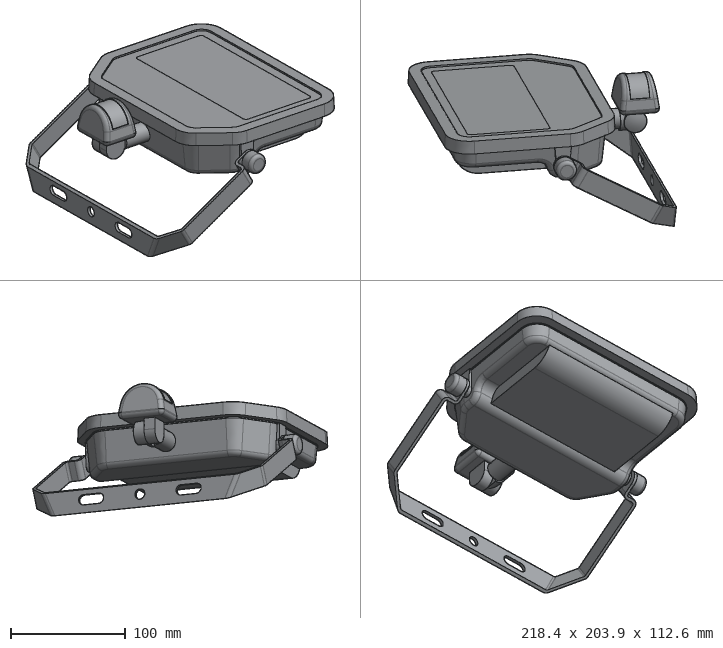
import cadquery as cq
import math


frame_half_width = 98.5
frame_back_y = 102.5
frame_front_y = -52.9
frame_cut_x = 29.3
frame_cut_y = 40.6
frame_corner_radius = 21.8
frame_bottom_z = 19.2
frame_height = 11.8
frame_draft = 3.0
frame_top_z = frame_bottom_z + frame_height
frame_border = 11.4

glass_recess = 1.5
glass_thickness = 2.2
glass_top_z = frame_top_z - glass_recess
panel_width = 156.8
panel_back_y = 82.1
panel_front_y = 8.5
panel_corner_radius = 3.0

housing_half_width = 90.5
housing_back_y = 94.3
housing_front_y = -44.8
housing_cut_x = 24.2
housing_cut_y = 33.9
housing_corner_radius = 17.0
housing_draft = 6.0
housing_bottom_z = -14.6
shallow_bottom_z = 1.5
housing_edge_radius = 5.2
shallow_end_y = 21.8
deep_start_y = 1.5
lip_overhang = 0.5
lip_height = 1.0
core_half_width = 69.9
core_bottom_z = -10.7
core_back_y = 92.4
core_radius = 22.7
pad_face_x = 92.2
pad_top_width = 15.0
pad_bottom_radius = 6.0
pad_depth = 8.7

tilt = 30.0
strip_width = 18.1
strip_thickness = 2.8
bracket_half_width = 109.2
tab_outer_x = 96.3
jog_start = 11.4
diagonal_start = 92.5
diagonal_slope = math.cos(math.radians(tilt))
region_end = 142.0
plate_back_y = -101.3
bend_inner_radius = 2.2
bend_outer_radius = bend_inner_radius + strip_thickness
plate_hole_z = -57.0
plate_hole_diameter = 9.2
slot_length = 23.5
slot_offset = 46.3

knob_diameter = 18.1
knob_outer_x = 108.3
knob_edge_radius = 3.3
shank_diameter = 6.0
shank_end_x = 85.2

arm_diameter = 18.0
arm_start_y = -40.5
arm_z = 3.3
knuckle_y = -81.7
knuckle_z = 2.8
knuckle_radius = 10.3
knuckle_width = 10.3
knuckle_back_y = -68.5
cap_radius = 10.0
cap_height = 2.0

head_center_y = -83.9
head_bottom_z = knuckle_z + knuckle_radius
head_widest_z = 18.1
head_arc_z = 23.2
head_arc_radius = 20.5
head_side_draft = 10.0
head_half_depth = 17.5
head_end_draft = 8.0
head_edge_radius = 4.1
lens_depth = 17.0
lens_bottom_z = 28.0
lens_recess = 0.7
lens_thickness = 2.2


def cut_corner_outline(half_width, back_y, front_y, cut_x, cut_y, corner_radius, inset):
    """Rounded rectangle with its two front corners cut off, all moved inward by inset."""
    turn = math.atan2(cut_x, cut_y)
    side_x = half_width - inset
    side_y = front_y + cut_y + inset * math.tan(turn / 2)
    front_x = half_width - cut_x - inset * math.tan((math.pi / 2 - turn) / 2)
    corners = [
        (-side_x, back_y - inset),
        (side_x, back_y - inset),
        (side_x, side_y),
        (front_x, front_y + inset),
        (-front_x, front_y + inset),
        (-side_x, side_y),
        (-side_x, back_y - inset),
    ]
    return cq.Sketch().polygon(corners).vertices().fillet(corner_radius - inset)


def frame_outline(inset=0):
    return cut_corner_outline(
        frame_half_width, frame_back_y, frame_front_y, frame_cut_x, frame_cut_y, frame_corner_radius, inset
    )


def housing_outline(inset=0):
    return cut_corner_outline(
        housing_half_width,
        housing_back_y,
        housing_front_y,
        housing_cut_x,
        housing_cut_y,
        housing_corner_radius,
        inset,
    )


def level(z):
    return cq.Workplane("XY", origin=(0, 0, z))


def bar_x(y, z, diameter, x_from, x_to):
    """Round bar along X."""
    return cq.Workplane("YZ", origin=(x_from, y, z)).circle(diameter / 2).extrude(x_to - x_from)


def make_frame():
    """Drafted frame with a blind pocket for the glass."""
    body = level(frame_bottom_z).placeSketch(frame_outline()).extrude(frame_height, taper=frame_draft)
    pocket_depth = glass_recess + glass_thickness
    pocket_floor_z = frame_top_z - pocket_depth
    pocket = level(pocket_floor_z).placeSketch(frame_outline(frame_border)).extrude(pocket_depth)
    return body.cut(pocket)


def make_panel():
    """Rounded rectangular panel, flush with the glass around it."""
    center_y = (panel_back_y + panel_front_y) / 2
    return (
        level(glass_top_z - glass_thickness)
        .center(0, center_y)
        .rect(panel_width, panel_back_y - panel_front_y)
        .extrude(glass_thickness)
        .edges("|Z")
        .fillet(panel_corner_radius)
    )


def make_glass():
    """Thin plate on the pocket floor, with an opening for the panel."""
    glass_bottom_z = glass_top_z - glass_thickness
    plate = level(glass_bottom_z).placeSketch(frame_outline(frame_border)).extrude(glass_thickness)
    return plate.cut(make_panel())


def make_housing_tub():
    """Drafted tub: shallow at the back, with an S-shaped step down to the deep front."""
    depth = frame_bottom_z - housing_bottom_z
    tub = level(frame_bottom_z).placeSketch(housing_outline()).extrude(-depth, taper=housing_draft)
    middle_y = (shallow_end_y + deep_start_y) / 2
    middle_z = (shallow_bottom_z + housing_bottom_z) / 2
    below_shallow_part = (
        cq.Workplane("YZ")
        .moveTo(frame_back_y, shallow_bottom_z)
        .lineTo(shallow_end_y, shallow_bottom_z)
        .tangentArcPoint((middle_y, middle_z), relative=False)
        .tangentArcPoint((deep_start_y, housing_bottom_z), relative=False)
        .lineTo(frame_back_y, housing_bottom_z)
        .close()
        .extrude(frame_half_width, both=True)
    )
    tub = tub.cut(below_shallow_part)
    reach = 2 * frame_half_width
    margin = 0.2
    bottom_edges = cq.selectors.BoxSelector(
        (-reach, -reach, -reach), (reach, reach, shallow_bottom_z + margin)
    )
    step_seams = cq.selectors.BoxSelector(
        (-margin, deep_start_y - margin, -reach), (margin, shallow_end_y + margin, reach)
    )
    return tub.edges(bottom_edges - step_seams).fillet(housing_edge_radius)


def make_housing_core():
    """Block below the shallow back part, with a large round at its back end."""
    inside_z = frame_bottom_z - lip_height
    return (
        cq.Workplane("YZ")
        .moveTo(core_back_y, inside_z)
        .lineTo(core_back_y, core_bottom_z + core_radius)
        .radiusArc((core_back_y - core_radius, core_bottom_z), core_radius)
        .lineTo(deep_start_y, core_bottom_z)
        .lineTo(deep_start_y, inside_z)
        .close()
        .extrude(core_half_width, both=True)
    )


def make_hinge_pad(side):
    """Tapered lug with a round lower end, standing on a side wall around the clamp screw."""
    plane = cq.Plane(origin=(side * pad_face_x, 0, 0), xDir=(0, 1, 0), normal=(1, 0, 0))
    half_top = pad_top_width / 2
    upper = (
        cq.Workplane(plane)
        .polyline(
            [
                (-pad_bottom_radius, 0),
                (pad_bottom_radius, 0),
                (half_top, frame_bottom_z),
                (-half_top, frame_bottom_z),
            ]
        )
        .close()
        .extrude(-side * pad_depth)
    )
    return upper.union(cq.Workplane(plane).circle(pad_bottom_radius).extrude(-side * pad_depth))


def make_shank(side):
    """Thin part of a clamp screw; it also serves as the cutter for its hole."""
    return bar_x(0, 0, shank_diameter, side * shank_end_x, side * tab_outer_x)


def make_arm_tube():
    """Round bar of the sensor arm; it also serves as the cutter for its socket in the housing."""
    length = arm_start_y - knuckle_back_y
    return cq.Workplane("XZ", origin=(0, arm_start_y, arm_z)).circle(arm_diameter / 2).extrude(length)


def make_housing():
    """Tub with its core, top lip and hinge pads, bored for the clamp screws and the sensor arm."""
    lip = level(frame_bottom_z - lip_height).placeSketch(housing_outline(-lip_overhang)).extrude(lip_height)
    body = make_housing_tub().union(make_housing_core()).union(lip)
    for side in (-1, 1):
        body = body.union(make_hinge_pad(side)).cut(make_shank(side))
    return body.cut(make_arm_tube())


def make_clamp_screw(side):
    """Round knob with a shank that passes through the bracket tab into the housing."""
    knob = bar_x(0, 0, knob_diameter, side * tab_outer_x, side * knob_outer_x)
    outer_end = ">X" if side > 0 else "<X"
    knob = knob.faces(outer_end).edges().fillet(knob_edge_radius)
    return knob.union(make_shank(side))


tilt_cos = math.cos(math.radians(tilt))
tilt_sin = math.sin(math.radians(tilt))
bracket_plane = cq.Plane(origin=(0, 0, 0), xDir=(1, 0, 0), normal=(0, tilt_sin, -tilt_cos))


def fillet_bends(prism, bends):
    """Round the edges across the strip, given as (x, distance from pivot, radius), on both sides."""
    for x, distance, radius in bends:
        for side in (-1, 1):
            point = bracket_plane.toWorldCoords((side * x, distance, 0)).toTuple()
            prism = prism.edges(cq.selectors.NearestToPointSelector(point)).fillet(radius)
    return prism


def make_bracket_region(offset, tab_bend_radius, side_bend_radius):
    """Area enclosed by the strip face that lies offset inside the outer face, up to the back plate."""
    half_turn = math.atan(diagonal_slope) / 2
    tab_x = tab_outer_x - offset
    jog = jog_start + offset
    side_x = bracket_half_width - offset
    diagonal = diagonal_start - offset * math.tan(half_turn)
    end_x = side_x - (region_end - diagonal) * diagonal_slope
    half = [(tab_x, 0), (tab_x, jog), (side_x, jog), (side_x, diagonal), (end_x, region_end)]
    mirrored = [(-x, distance) for x, distance in reversed(half)]
    prism = (
        cq.Workplane(bracket_plane).polyline(half + mirrored).close().extrude(strip_width / 2, both=True)
    )
    bends = [
        (tab_x, jog, tab_bend_radius),
        (side_x, jog, side_bend_radius),
        (side_x, diagonal, side_bend_radius),
    ]
    prism = fillet_bends(prism, bends)
    plate_face_y = plate_back_y + offset
    beyond_plate = cq.Workplane("XY", origin=(0, plate_face_y, 0)).box(
        2 * bracket_half_width, region_end, 2 * region_end, centered=(True, False, True)
    )
    prism = prism.intersect(beyond_plate)
    plate_distance = -plate_face_y / tilt_cos
    plate_x = side_x - (plate_distance - diagonal) * diagonal_slope
    for side in (-1, 1):
        corner = (side * plate_x, plate_face_y, -plate_distance * tilt_sin)
        prism = prism.edges(cq.selectors.NearestToPointSelector(corner)).fillet(side_bend_radius)
    return prism


def make_bracket():
    """Bent strip: end tabs on the pivot, jogs outward, side arms, diagonals and a vertical back plate."""
    body = make_bracket_region(0, bend_inner_radius, bend_outer_radius)
    body = body.cut(make_bracket_region(strip_thickness, bend_outer_radius, bend_inner_radius))
    tab_inner_x = tab_outer_x - strip_thickness
    for side in (-1, 1):
        body = body.union(bar_x(0, 0, strip_width, side * tab_inner_x, side * tab_outer_x))
        body = body.cut(make_shank(side))
    drill_plane = cq.Workplane("XZ", origin=(0, plate_back_y + 2 * strip_thickness, plate_hole_z))
    drill_depth = 4 * strip_thickness
    center_hole = drill_plane.circle(plate_hole_diameter / 2).extrude(drill_depth)
    slots = (
        drill_plane.pushPoints([(-slot_offset, 0), (slot_offset, 0)])
        .slot2D(slot_length, plate_hole_diameter)
        .extrude(drill_depth)
    )
    return body.cut(center_hole).cut(slots)


def make_sensor_arm():
    """Tube from the housing, ending in the -X half of the knuckle with a domed cap."""
    collar = (
        cq.Workplane("XZ", origin=(0, knuckle_back_y, knuckle_z))
        .circle(knuckle_radius)
        .extrude(knuckle_back_y - knuckle_y)
    )
    minus_x_side = cq.Workplane("XY", origin=(-knuckle_width, knuckle_y, knuckle_z)).box(
        knuckle_width, 4 * knuckle_radius, 2 * knuckle_radius, centered=(False, True, True)
    )
    half_collar = collar.intersect(minus_x_side)
    half_round = bar_x(knuckle_y, knuckle_z, 2 * knuckle_radius, -knuckle_width, 0)
    cap = (
        cq.Workplane("XY", origin=(-knuckle_width, knuckle_y, knuckle_z))
        .moveTo(0, cap_radius)
        .lineTo(0, 0)
        .lineTo(-cap_height, 0)
        .radiusArc((0, cap_radius), (cap_radius**2 + cap_height**2) / (2 * cap_height))
        .close()
        .revolve(360, (0, 0, 0), (1, 0, 0))
    )
    return make_arm_tube().union(half_collar).union(half_round).union(cap)


head_draft = math.radians(head_side_draft)
arc_end_x = head_arc_radius * math.cos(head_draft)
arc_end_z = head_arc_z + head_arc_radius * math.sin(head_draft)
head_top_z = head_arc_z + head_arc_radius
head_half_width = arc_end_x + (arc_end_z - head_widest_z) * math.tan(head_draft)


def make_head_dome():
    """Upper head: round top on drafted sides, with ends that lean inward."""
    dome = (
        cq.Workplane("XZ", origin=(0, head_center_y, 0))
        .moveTo(-head_half_width, head_widest_z)
        .lineTo(-arc_end_x, arc_end_z)
        .threePointArc((0, head_top_z), (arc_end_x, arc_end_z))
        .lineTo(head_half_width, head_widest_z)
        .close()
        .extrude(head_half_depth, both=True)
    )
    end_lean = (head_top_z - head_widest_z) * math.tan(math.radians(head_end_draft))
    top_half_depth = head_half_depth - end_lean
    ends = (
        cq.Workplane("YZ", origin=(0, head_center_y, 0))
        .polyline(
            [
                (-head_half_depth, head_widest_z),
                (head_half_depth, head_widest_z),
                (top_half_depth, head_top_z),
                (-top_half_depth, head_top_z),
            ]
        )
        .close()
        .extrude(head_half_width, both=True)
    )
    return dome.intersect(ends).edges("not (|X or |Y)").fillet(head_edge_radius)


def make_head_base():
    """Lower head: straight rim with rounded corners and a rounded underside."""
    rim_height = head_widest_z - head_bottom_z
    base = cq.Workplane("XY", origin=(0, head_center_y, head_bottom_z)).box(
        2 * head_half_width, 2 * head_half_depth, rim_height, centered=(True, True, False)
    )
    return base.edges("|Z or <Z").fillet(head_edge_radius)


def make_lens_zone(radius):
    """Cylindrical slab under the dome, cut off level with the bottom of the lens."""
    arc_center = (0, head_center_y, head_arc_z)
    slab = cq.Workplane("XZ", origin=arc_center).circle(radius).extrude(lens_depth / 2, both=True)
    above = level(lens_bottom_z).center(0, head_center_y).rect(2 * radius, 2 * radius).extrude(radius)
    return slab.intersect(above)


def make_lens():
    """Curved window, set slightly below the dome surface."""
    outer_radius = head_arc_radius - lens_recess
    return make_lens_zone(outer_radius).cut(make_lens_zone(outer_radius - lens_thickness))


def make_sensor_head():
    """Dome and base with a recess for the lens, and a post forming the +X half of the knuckle."""
    head = make_head_dome().union(make_head_base())
    floor_radius = head_arc_radius - lens_recess - lens_thickness
    recess = make_lens_zone(2 * head_arc_radius).cut(make_lens_zone(floor_radius))
    post_height = head_bottom_z - knuckle_z
    post = cq.Workplane("XY", origin=(0, knuckle_y, knuckle_z)).box(
        knuckle_width, 2 * knuckle_radius, post_height, centered=(False, True, False)
    )
    post = post.union(bar_x(knuckle_y, knuckle_z, 2 * knuckle_radius, 0, knuckle_width))
    return head.cut(recess).union(post)


clamp_screws = [make_clamp_screw(side) for side in (-1, 1)]

bodies = [
    make_frame(),
    make_glass(),
    make_panel(),
    make_housing(),
    make_bracket(),
    *clamp_screws,
    make_sensor_arm(),
    make_sensor_head(),
    make_lens(),
]

result = cq.Compound.makeCompound([body.solids().val() for body in bodies])